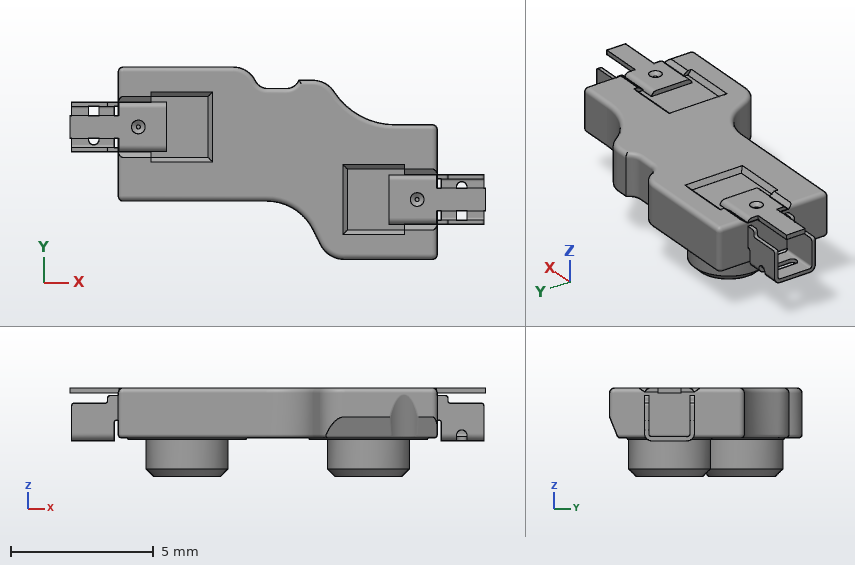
import cadquery as cq
import math


BODY_HALF_LENGTH = 5.585
BODY_HALF_WIDTH = 3.37
BODY_HEIGHT = 1.75
EDGE_RADIUS = 0.18
BOTTOM_EDGE_RADIUS = 0.12
LEFT_LOBE_FRONT_Y = -1.33
FRONT_BEND_START_X = -0.38
FRONT_BEND_END_X = 2.34
RIGHT_LOBE_BACK_Y = 1.35
BACK_BEND_START_X = 1.22
BACK_BEND_END_X = 4.1
BUMP_Y = 2.91
RECESS_Y = 2.62
RECESS_START_X = -0.36
RECESS_END_X = 0.31
LEFT_LOBE_BACK_END_X = -1.56
RECESS_RADIUS = 0.465
FRONT_INNER_RADIUS = 1.8
FRONT_OUTER_RADIUS = 0.95
BUMP_RADIUS = 0.9

SHORTEST_LINE = 0.01
PICK_MARGIN = 0.01

RELIEF_HEIGHT = 0.74
RELIEF_DEPTH = 0.30
GROOVE_X = 4.43
GROOVE_RADIUS = 0.62
GROOVE_TOP_Z = -0.24
GROOVE_TILT = 18.0
GROOVE_EDGE_RADIUS = 0.08

BOSS_X = 3.175
BOSS_Y = 1.27
BOSS_RADIUS = 1.44
BOSS_BOTTOM_Z = -3.1
BOSS_CHAMFER = 0.27
PAD_LENGTH = 4.2
PAD_WIDTH = 3.0
PAD_HEIGHT = 0.06
PAD_CHAMFER = 0.05

POCKET_DEPTH = 0.18
POCKET_SLOPE = 0.16
POCKET_START_X = -4.43
POCKET_END_X = -2.28
POCKET_WIDTH = 2.45
CHANNEL_WIDTH = 2.14
CHANNEL_SLOPE = 0.2
CHANNEL_DEPTH = 0.14

TIP_X = -7.275
TAB_WIDTH = 0.8
PLATE_START_X = -5.55
PLATE_END_X = -3.89
PLATE_BEND_RADIUS = 0.22
PLATE_FLANGE_HEIGHT = 0.25
TRAY_WIDTH = 1.74
TRAY_START_X = -7.22
TRAY_END_X = -5.72
TRAY_TOP_Z = -0.53
TRAY_BOTTOM_Z = -1.85
WALL_THICKNESS = 0.15
TRAY_BEND_RADIUS = 0.24
NECK_START_X = -5.96
NECK_TOP_Z = -0.26
NECK_BOTTOM_Z = -1.13
WALL_CORNER_RADIUS = 0.1
STEP_RADIUS = 0.08
SLOT_X = -6.44
SLOT_WIDTH = 0.36
SLOT_REACH = 0.62
SLOT_TOP_Z = -1.47
DIMPLE_X = -4.88
DIMPLE_RADIUS = 0.24
DIMPLE_TIP_RADIUS = 0.07
DIMPLE_DEPTH = 0.12


def box(x_start, x_end, y_center, width, z_bottom, z_top):
    """Axis-aligned box centred on y_center."""
    length = x_end - x_start
    base = cq.Workplane("XY", origin=(x_start, y_center, z_bottom))
    return base.box(length, width, z_top - z_bottom, centered=(False, True, False))


def bend_radius_sum(run, rise):
    """Sum of the two radii of a tangent S-bend whose ends both lie along X."""
    return (run**2 + rise**2) / (2 * rise)


def arc_point(center, radius, degrees):
    """Point on a circle at the given angle."""
    angle = math.radians(degrees)
    return (center[0] + radius * math.cos(angle), center[1] + radius * math.sin(angle))


def s_bend(sketch, start, end, first_radius, second_radius):
    """Add an S-bend between two stretches along X: an arc, a tangent line and an opposite arc."""
    run = abs(end[0] - start[0])
    rise = abs(end[1] - start[1])
    along = math.copysign(1, end[0] - start[0])
    up = math.copysign(1, end[1] - start[1])
    radius_sum = first_radius + second_radius
    line_length = math.sqrt(max(run**2 + rise**2 - 2 * radius_sum * rise, 0))
    turn = math.atan2(run, radius_sum - rise) - math.atan2(line_length, radius_sum)

    def offset(point, radius, angle):
        return (
            point[0] + along * radius * math.sin(angle),
            point[1] + up * radius * (1 - math.cos(angle)),
        )

    sketch = sketch.threePointArc(offset(start, first_radius, turn / 2), offset(start, first_radius, turn))
    second_start = offset(end, -second_radius, turn)
    if line_length > SHORTEST_LINE:
        sketch = sketch.lineTo(*second_start)
    return sketch.threePointArc(offset(end, -second_radius, turn / 2), end)


def body_outline():
    """S-shaped outline, drawn anticlockwise from the front left corner."""
    recess_center = (RECESS_END_X, RECESS_Y + RECESS_RADIUS)
    bump_angle = math.degrees(math.asin((BUMP_Y - recess_center[1]) / RECESS_RADIUS))
    bump_corner = arc_point(recess_center, RECESS_RADIUS, bump_angle)
    recess_middle = arc_point(recess_center, RECESS_RADIUS, (bump_angle - 90) / 2)
    back_sum = bend_radius_sum(BACK_BEND_END_X - BACK_BEND_START_X, BUMP_Y - RIGHT_LOBE_BACK_Y)
    recess_sum = bend_radius_sum(RECESS_START_X - LEFT_LOBE_BACK_END_X, BODY_HALF_WIDTH - RECESS_Y)

    sketch = cq.Workplane("XY").moveTo(-BODY_HALF_LENGTH, LEFT_LOBE_FRONT_Y)
    sketch = sketch.lineTo(FRONT_BEND_START_X, LEFT_LOBE_FRONT_Y)
    front_start = (FRONT_BEND_START_X, LEFT_LOBE_FRONT_Y)
    front_end = (FRONT_BEND_END_X, -BODY_HALF_WIDTH)
    sketch = s_bend(sketch, front_start, front_end, FRONT_INNER_RADIUS, FRONT_OUTER_RADIUS)
    sketch = sketch.lineTo(BODY_HALF_LENGTH, -BODY_HALF_WIDTH)
    sketch = sketch.lineTo(BODY_HALF_LENGTH, RIGHT_LOBE_BACK_Y)
    sketch = sketch.lineTo(BACK_BEND_END_X, RIGHT_LOBE_BACK_Y)
    back_start = (BACK_BEND_END_X, RIGHT_LOBE_BACK_Y)
    sketch = s_bend(sketch, back_start, (BACK_BEND_START_X, BUMP_Y), back_sum - BUMP_RADIUS, BUMP_RADIUS)
    sketch = sketch.lineTo(*bump_corner)
    sketch = sketch.threePointArc(recess_middle, (RECESS_END_X, RECESS_Y))
    sketch = sketch.lineTo(RECESS_START_X, RECESS_Y)
    recess_start = (RECESS_START_X, RECESS_Y)
    lobe_end = (LEFT_LOBE_BACK_END_X, BODY_HALF_WIDTH)
    sketch = s_bend(sketch, recess_start, lobe_end, RECESS_RADIUS, recess_sum - RECESS_RADIUS)
    return sketch.lineTo(-BODY_HALF_LENGTH, BODY_HALF_WIDTH).close()


def relief_wedge():
    """Wedge that slopes the lower front side of the right lobe."""
    bottom = -BODY_HEIGHT
    corners = [
        (-BODY_HALF_WIDTH, bottom + RELIEF_HEIGHT),
        (-BODY_HALF_WIDTH, bottom),
        (-BODY_HALF_WIDTH + RELIEF_DEPTH, bottom),
    ]
    return cq.Workplane("YZ").polyline(corners).close().extrude(BODY_HALF_LENGTH)


def tilted_groove():
    """Round groove that deepens toward the bottom of the right lobe."""
    length = 2 * BODY_HEIGHT
    groove = cq.Workplane("XY").circle(GROOVE_RADIUS).extrude(length, both=True)
    groove = groove.translate((0, -GROOVE_RADIUS, 0)).rotate((0, 0, 0), (1, 0, 0), GROOVE_TILT)
    return groove.translate((GROOVE_X, -BODY_HALF_WIDTH, GROOVE_TOP_Z))


def body():
    """Plastic body with rounded edges and the relieved right lobe."""
    solid = body_outline().extrude(-BODY_HEIGHT)
    solid = solid.edges("|Z and (<X or >X)").fillet(EDGE_RADIUS)
    solid = solid.faces(">Z").edges().fillet(EDGE_RADIUS)
    solid = solid.cut(relief_wedge())
    solid = solid.faces("<Z").edges().fillet(BOTTOM_EDGE_RADIUS)
    solid = solid.cut(tilted_groove())
    rim = cq.selectors.BoxSelector(
        (GROOVE_X - GROOVE_RADIUS, -BODY_HALF_WIDTH - PICK_MARGIN, -BODY_HEIGHT + BOTTOM_EDGE_RADIUS),
        (GROOVE_X + GROOVE_RADIUS, -BODY_HALF_WIDTH + RELIEF_DEPTH, GROOVE_TOP_Z),
    )
    return solid.edges(rim).fillet(GROOVE_EDGE_RADIUS)


def boss():
    """Left boss with its thin pad."""
    base = cq.Workplane("XY", origin=(-BOSS_X, BOSS_Y, -BODY_HEIGHT))
    post = base.circle(BOSS_RADIUS).extrude(BOSS_BOTTOM_Z + BODY_HEIGHT)
    post = post.faces("<Z").chamfer(BOSS_CHAMFER)
    pad = base.slot2D(PAD_LENGTH, PAD_WIDTH).extrude(-PAD_HEIGHT)
    pad = pad.faces("<Z").chamfer(PAD_CHAMFER)
    return post.union(pad)


def pocket():
    """Left pocket with sloped sides, and its channel out to the end of the body."""
    length = POCKET_END_X - POCKET_START_X
    slope_angle = math.degrees(math.atan(POCKET_SLOPE / POCKET_DEPTH))
    well = cq.Workplane("XY").rect(2 * length, POCKET_WIDTH).extrude(-POCKET_DEPTH, taper=slope_angle)
    well = well.translate((POCKET_START_X, BOSS_Y, 0))
    well = well.intersect(box(POCKET_START_X, POCKET_END_X, BOSS_Y, POCKET_WIDTH, -POCKET_DEPTH, 0))
    half_top = CHANNEL_WIDTH / 2
    half_floor = half_top - CHANNEL_SLOPE
    section = [(-half_top, 0), (half_top, 0), (half_floor, -CHANNEL_DEPTH), (-half_floor, -CHANNEL_DEPTH)]
    channel = cq.Workplane("YZ").polyline(section).close().extrude(POCKET_START_X + BODY_HALF_LENGTH)
    return well.union(channel.translate((-BODY_HALF_LENGTH, BOSS_Y, 0)))


def contact_plate():
    """Flat top of the left terminal: bent plate in the pocket and narrow tab outside."""
    plate = box(PLATE_START_X, PLATE_END_X, BOSS_Y, TRAY_WIDTH, -PLATE_FLANGE_HEIGHT, 0)
    plate = plate.edges("|X and >Z").fillet(PLATE_BEND_RADIUS)
    plate = plate.union(box(TIP_X, PLATE_START_X, BOSS_Y, TAB_WIDTH, -POCKET_DEPTH, 0))
    dimple = cq.Workplane("XY").circle(DIMPLE_RADIUS).workplane(offset=-DIMPLE_DEPTH)
    dimple = dimple.circle(DIMPLE_TIP_RADIUS).loft()
    return plate.cut(dimple.translate((DIMPLE_X, BOSS_Y, 0)))


def side_profile():
    """Side shape shared by both tray walls, as a slab as wide as the tray."""
    points = [
        (TRAY_START_X, TRAY_BOTTOM_Z),
        (TRAY_END_X, TRAY_BOTTOM_Z),
        (TRAY_END_X, NECK_BOTTOM_Z),
        (-BODY_HALF_LENGTH, NECK_BOTTOM_Z),
        (-BODY_HALF_LENGTH, NECK_TOP_Z),
        (NECK_START_X, NECK_TOP_Z),
        (NECK_START_X, TRAY_TOP_Z),
        (TRAY_START_X, TRAY_TOP_Z),
    ]
    slab = cq.Workplane("XZ").polyline(points).close().extrude(TRAY_WIDTH / 2, both=True)

    def corner(x, z):
        low = (x - PICK_MARGIN, -TRAY_WIDTH, z - PICK_MARGIN)
        high = (x + PICK_MARGIN, TRAY_WIDTH, z + PICK_MARGIN)
        return cq.selectors.BoxSelector(low, high)

    slab = slab.edges(corner(TRAY_START_X, TRAY_TOP_Z)).fillet(WALL_CORNER_RADIUS)
    slab = slab.edges(corner(NECK_START_X, NECK_TOP_Z)).fillet(WALL_CORNER_RADIUS)
    slab = slab.edges(corner(NECK_START_X, TRAY_TOP_Z)).fillet(STEP_RADIUS)
    return slab.edges(corner(TRAY_END_X, NECK_BOTTOM_Z)).fillet(STEP_RADIUS)


def tray():
    """U-shaped lower part of the left terminal."""
    shell = box(TRAY_START_X, -BODY_HALF_LENGTH, 0, TRAY_WIDTH, TRAY_BOTTOM_Z, 0)
    shell = shell.edges("|X and <Z").fillet(TRAY_BEND_RADIUS)
    inner_width = TRAY_WIDTH - 2 * WALL_THICKNESS
    hollow = box(TRAY_START_X, -BODY_HALF_LENGTH, 0, inner_width, TRAY_BOTTOM_Z + WALL_THICKNESS, 0)
    hollow = hollow.edges("|X and <Z").fillet(TRAY_BEND_RADIUS - WALL_THICKNESS)
    channel = side_profile().intersect(shell.cut(hollow))

    slot_radius = SLOT_WIDTH / 2
    slot_start = cq.Workplane("XY", origin=(SLOT_X, slot_radius - SLOT_REACH, TRAY_BOTTOM_Z))
    slot_height = SLOT_TOP_Z - slot_radius - TRAY_BOTTOM_Z
    round_end = slot_start.circle(slot_radius).extrude(slot_height)
    slot_length = SLOT_REACH - slot_radius + TRAY_WIDTH / 2
    slot_middle_y = (slot_radius - SLOT_REACH + TRAY_WIDTH / 2) / 2
    straight = cq.Workplane("XY", origin=(SLOT_X, slot_middle_y, TRAY_BOTTOM_Z))
    straight = straight.rect(SLOT_WIDTH, slot_length).extrude(slot_height)
    arch = cq.Workplane("XZ", origin=(SLOT_X, 0, SLOT_TOP_Z - slot_radius)).circle(slot_radius)
    arch = arch.extrude(-TRAY_WIDTH / 2)
    channel = channel.cut(round_end).cut(straight).cut(arch)
    return channel.translate((0, BOSS_Y, 0))


def both_ends(solid):
    """The solid together with its copy turned half way about Z."""
    return solid.union(solid.rotate((0, 0, 0), (0, 0, 1), 180))


result = body().cut(both_ends(pocket()))
for feature in (boss(), contact_plate(), tray()):
    result = result.union(both_ends(feature))